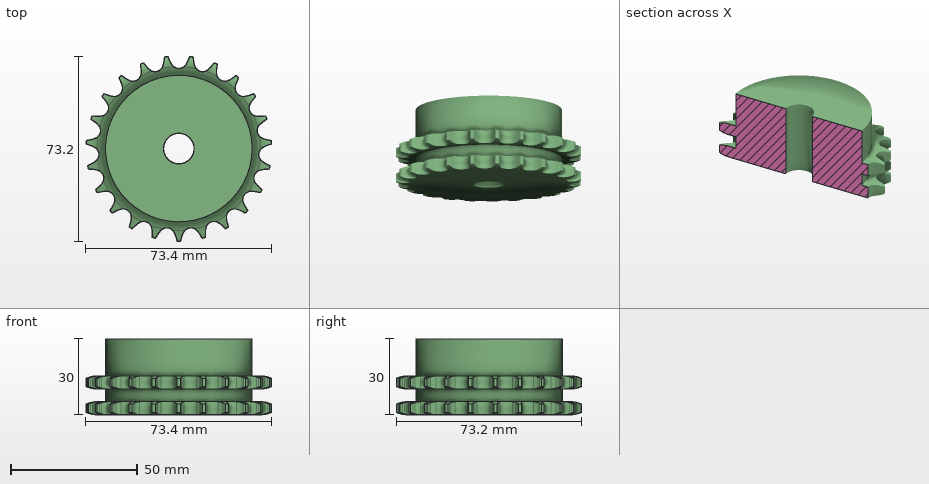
import cadquery as cq
import math


chain_pitch = 9.525
roller_diameter = 6.35
tooth_count = 23
tip_diameter = 73.5
hub_diameter = 58.0
bore_diameter = 12.0
total_height = 30.0

row_count = 2
row_width = 5.2
row_spacing = 10.2

bevel_radius = 10.0
bevel_depth = 1.0

seat_allowance = 0.0381
reach_to_working_end = 0.8 * roller_diameter
reach_to_topping_centre = 1.4 * roller_diameter
seat_radius = 0.50025 * roller_diameter + seat_allowance
working_radius = 1.3025 * roller_diameter + seat_allowance
seat_half_angle = 55.0 - 60.0 / tooth_count
working_turn = 18.0 - 56.0 / tooth_count
topping_angle = 17.0 - 64.0 / tooth_count
straight_length = (
    reach_to_topping_centre * math.sin(math.radians(topping_angle))
    - reach_to_working_end * math.sin(math.radians(working_turn))
)
topping_radius = (
    reach_to_working_end * math.cos(math.radians(working_turn))
    + reach_to_topping_centre * math.cos(math.radians(topping_angle))
    - working_radius
)
topping_turn = 12.0
cut_clearance = 1.0

tooth_angle = 360.0 / tooth_count
pitch_radius = chain_pitch / 2 / math.sin(math.radians(tooth_angle / 2))
tip_radius = tip_diameter / 2


def arc_points(start, radius, start_slope, turn):
    """Middle and end of an arc leaving start at start_slope degrees.

    A positive turn bends the arc to the left, a negative one to the right.
    """
    signed_radius = math.copysign(radius, turn)
    points = []
    for share in (0.5, 1.0):
        old = math.radians(start_slope)
        new = math.radians(start_slope + share * turn)
        points.append(
            (
                start[0] + signed_radius * (math.sin(new) - math.sin(old)),
                start[1] - signed_radius * (math.cos(new) - math.cos(old)),
            )
        )
    return points


def mirrored(point):
    return (-point[0], point[1])


def make_gap():
    """Prism that cuts one tooth gap, centred on the +Y axis."""
    root = (0.0, pitch_radius - seat_radius)
    seat_end = arc_points(root, seat_radius, 0.0, seat_half_angle)[1]
    flank_slope = seat_half_angle + working_turn
    working_middle, working_end = arc_points(seat_end, working_radius, seat_half_angle, working_turn)
    straight_end = (
        working_end[0] + straight_length * math.cos(math.radians(flank_slope)),
        working_end[1] + straight_length * math.sin(math.radians(flank_slope)),
    )
    topping_middle, topping_end = arc_points(straight_end, topping_radius, flank_slope, -topping_turn)
    outer = (topping_end[0], tip_radius + cut_clearance)

    return (
        cq.Workplane("XY")
        .moveTo(*root)
        .radiusArc(seat_end, -seat_radius)
        .threePointArc(working_middle, working_end)
        .lineTo(*straight_end)
        .threePointArc(topping_middle, topping_end)
        .lineTo(*outer)
        .lineTo(*mirrored(outer))
        .lineTo(*mirrored(topping_end))
        .threePointArc(mirrored(topping_middle), mirrored(straight_end))
        .lineTo(*mirrored(working_end))
        .threePointArc(mirrored(working_middle), mirrored(seat_end))
        .radiusArc(root, -seat_radius)
        .close()
        .extrude(row_width)
    )


def make_row_blank():
    """Uncut toothed disc, its rim bevelled by arcs tangent to both side faces."""
    bevel_turn = math.degrees(math.acos(1 - bevel_depth / bevel_radius))
    face_radius = tip_radius - bevel_radius * math.sin(math.radians(bevel_turn))
    lower_middle, lower_tip = arc_points((face_radius, 0.0), bevel_radius, 0.0, bevel_turn)
    upper_middle, upper_tip = arc_points((face_radius, row_width), bevel_radius, 0.0, -bevel_turn)
    return (
        cq.Workplane("XZ")
        .moveTo(0, 0)
        .lineTo(face_radius, 0.0)
        .threePointArc(lower_middle, lower_tip)
        .lineTo(*upper_tip)
        .threePointArc(upper_middle, (face_radius, row_width))
        .lineTo(0, row_width)
        .close()
        .revolve(360, (0, 0, 0), (0, 1, 0))
    )


def make_row():
    """One toothed row standing on Z = 0, with a gap centred on the +Y axis."""
    gap = make_gap().val()
    gaps = [gap.rotate((0, 0, 0), (0, 0, 1), index * tooth_angle) for index in range(tooth_count)]
    return cq.Workplane(make_row_blank().val().cut(*gaps))


result = cq.Workplane("XY").circle(hub_diameter / 2).extrude(total_height)
row = make_row()
for row_index in range(row_count):
    result = result.union(row.translate((0, 0, row_index * row_spacing)))
bore = cq.Workplane("XY").circle(bore_diameter / 2).extrude(total_height)
result = result.cut(bore)